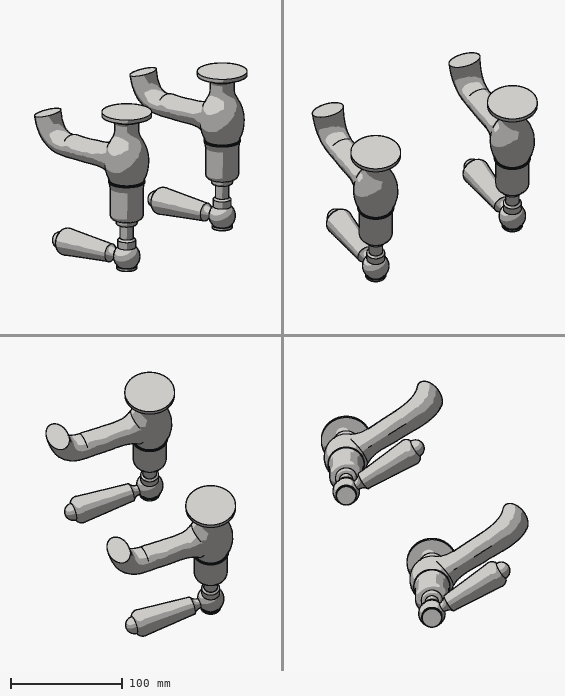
import cadquery as cq
import math


FLANGE_DIAMETER = 45.0
TAP_SPACING = 185 - FLANGE_DIAMETER

FLANGE_RADIUS = FLANGE_DIAMETER / 2
FLANGE_BASE_Z = -3.7
FLARE_MIDDLE = (14.8, -6.5)
FLARE_END = (11.5, -8.3)
NECK_RADIUS = 11.0
NECK_TOP_Z = -11.0
NECK_BASE_Z = -17.0
BULB_TOP = (13.5, -25.7)
BULB_MIDDLE = (20.0, -46.5)
BULB_BASE = (15.5, -65.1)

SPOUT_Z = BULB_MIDDLE[1]
ROOT_SECTION = (8.3, -45.0, 17.8, 19.8)
BULB_EXIT_SECTION = (13.0, -45.5, 15.5, 17.5)
FLARE_SECTION = (18.5, -46.2, 13.1, 13.9)
WAIST_SECTION = (27.8, SPOUT_Z, 11.5, 11.3)
INNER_STRAIGHT_SECTION = (39.8, SPOUT_Z, 11.7, 11.0)
OUTER_STRAIGHT_SECTION = (51.8, SPOUT_Z, 12.0, 10.5)
BEND_SECTION = (64.4, SPOUT_Z, 12.2, 10.2)
TIP_SECTION = (90.1, -20.2, 15.2, 9.6)
TIP_ANGLE = 81.3

BONNET_TOP_Z = BULB_BASE[1]
BEAD_RADIUS = 16.5
BEAD_HEIGHT = 1.7
BEAD_CHAMFER = 0.5
COLLAR_TOP_RADIUS = 16.1
COLLAR_BASE = (15.5, -70.0)
BARREL_RADIUS = 15.0
BARREL_TOP_Z = -72.7
BARREL_BASE_Z = -102.1
BARREL_FILLET = 4.5
NUT_RADIUS = 9.6
NUT_BASE_Z = -107.3
NUT_FILLET = 1.8
STEM_RADIUS = 6.1
STEM_BASE_Z = -120.2

SOCKET_RADIUS = 8.1
SOCKET_CHAMFER = 1.8
HUB_BALL_RADIUS = 12.0
HUB_BALL_Z = -137.8
FOOT_RADIUS = 9.2
FOOT_TOP_Z = -146.9
FOOT_BASE_Z = -149.5
FOOT_CHAMFER = 0.5

LEVER_Z = -138.5
LEVER_NECK_RADIUS = 4.5
LEVER_NECK_END = 12.2
LEVER_NECK_MIDDLE = (15.5, 5.5)
GRIP_START = 18.5
GRIP_RING_END = 20.5
GRIP_START_RADIUS = 8.3
GRIP_SHOULDER = (66.5, 12.2)
GRIP_ROUND_MIDDLE = (72.7, 11.0)
GRIP_END = 74.7
KNOB_RADIUS = 8.0


def make_pedestal():
    """Flange, flared neck and bulb, revolved about the tap axis."""
    outline = (
        cq.Workplane("XZ")
        .lineTo(FLANGE_RADIUS, 0)
        .lineTo(FLANGE_RADIUS, FLANGE_BASE_Z)
        .threePointArc(FLARE_MIDDLE, FLARE_END)
        .lineTo(NECK_RADIUS, NECK_TOP_Z)
        .lineTo(NECK_RADIUS, NECK_BASE_Z)
        .tangentArcPoint(BULB_TOP, relative=False)
        .threePointArc(BULB_MIDDLE, BULB_BASE)
        .lineTo(0, BULB_BASE[1])
        .close()
    )
    return outline.revolve(360, (0, 0, 0), (0, 1, 0))


def spout_direction(angle):
    """Unit vector in the tap's mid-plane, tilted up from -X by the angle in degrees."""
    tilt = math.radians(angle)
    return cq.Vector(-math.cos(tilt), 0, math.sin(tilt))


def section_centre(section):
    distance, height = section[:2]
    return cq.Vector(-distance, 0, height)


def section_wire(section, angle=0):
    """Ellipse of a spout section, facing along the spout direction."""
    half_width, half_height = section[2:]
    plane = cq.Plane(origin=section_centre(section), xDir=(0, 1, 0), normal=spout_direction(angle))
    return cq.Workplane(plane).ellipse(half_width, half_height).wire().val()


def make_straight_spout():
    """Spout from its flared root to the start of the bend."""
    sections = (
        ROOT_SECTION,
        BULB_EXIT_SECTION,
        FLARE_SECTION,
        WAIST_SECTION,
        INNER_STRAIGHT_SECTION,
        OUTER_STRAIGHT_SECTION,
        BEND_SECTION,
    )
    return cq.Workplane(cq.Solid.makeLoft([section_wire(section) for section in sections]))


def make_upturn():
    """Widening end of the spout, bent upward along a smooth curve."""
    path = cq.Edge.makeSpline(
        [section_centre(BEND_SECTION), section_centre(TIP_SECTION)],
        tangents=[spout_direction(0), spout_direction(TIP_ANGLE)],
    )
    ends = [section_wire(BEND_SECTION), section_wire(TIP_SECTION, TIP_ANGLE)]
    return cq.Workplane(cq.Solid.sweep_multi(ends, path))


def make_body():
    return make_pedestal().union(make_straight_spout()).union(make_upturn())


def make_bonnet():
    """Beaded collar, barrel, nut and stem, revolved about the tap axis."""
    bead_base_z = BONNET_TOP_Z - BEAD_HEIGHT
    outline = (
        cq.Workplane("XZ")
        .moveTo(0, BONNET_TOP_Z)
        .lineTo(BEAD_RADIUS - BEAD_CHAMFER, BONNET_TOP_Z)
        .lineTo(BEAD_RADIUS, BONNET_TOP_Z - BEAD_CHAMFER)
        .lineTo(BEAD_RADIUS, bead_base_z)
        .lineTo(COLLAR_TOP_RADIUS, bead_base_z)
        .lineTo(*COLLAR_BASE)
        .lineTo(BARREL_RADIUS, BARREL_TOP_Z)
        .lineTo(BARREL_RADIUS, BARREL_BASE_Z + BARREL_FILLET)
        .tangentArcPoint((BARREL_RADIUS - BARREL_FILLET, BARREL_BASE_Z), relative=False)
        .lineTo(NUT_RADIUS, BARREL_BASE_Z)
        .lineTo(NUT_RADIUS, NUT_BASE_Z + NUT_FILLET)
        .tangentArcPoint((NUT_RADIUS - NUT_FILLET, NUT_BASE_Z), relative=False)
        .lineTo(STEM_RADIUS, NUT_BASE_Z)
        .lineTo(STEM_RADIUS, STEM_BASE_Z)
        .lineTo(0, STEM_BASE_Z)
        .close()
    )
    return outline.revolve(360, (0, 0, 0), (0, 1, 0))


def make_hub():
    """Socket under the stem, ball and foot disc, revolved about the tap axis."""
    socket_base_z = HUB_BALL_Z + math.sqrt(HUB_BALL_RADIUS**2 - SOCKET_RADIUS**2)
    ball_base_radius = math.sqrt(HUB_BALL_RADIUS**2 - (HUB_BALL_Z - FOOT_TOP_Z) ** 2)
    outline = (
        cq.Workplane("XZ")
        .moveTo(0, STEM_BASE_Z)
        .lineTo(SOCKET_RADIUS - SOCKET_CHAMFER, STEM_BASE_Z)
        .lineTo(SOCKET_RADIUS, STEM_BASE_Z - SOCKET_CHAMFER)
        .lineTo(SOCKET_RADIUS, socket_base_z)
        .threePointArc((HUB_BALL_RADIUS, HUB_BALL_Z), (ball_base_radius, FOOT_TOP_Z))
        .lineTo(FOOT_RADIUS, FOOT_TOP_Z)
        .lineTo(FOOT_RADIUS, FOOT_BASE_Z + FOOT_CHAMFER)
        .lineTo(FOOT_RADIUS - FOOT_CHAMFER, FOOT_BASE_Z)
        .lineTo(0, FOOT_BASE_Z)
        .close()
    )
    return outline.revolve(360, (0, 0, 0), (0, 1, 0))


def make_lever():
    """Waisted neck, tapered grip and knob, revolved about the lever axis."""
    knob_middle = KNOB_RADIUS * math.sqrt(0.5)
    lever_plane = cq.Plane(origin=(0, 0, LEVER_Z), xDir=(-1, 0, 0), normal=(0, 1, 0))
    outline = (
        cq.Workplane(lever_plane)
        .lineTo(0, LEVER_NECK_RADIUS)
        .lineTo(LEVER_NECK_END, LEVER_NECK_RADIUS)
        .threePointArc(LEVER_NECK_MIDDLE, (GRIP_START, GRIP_START_RADIUS))
        .lineTo(GRIP_RING_END, GRIP_START_RADIUS)
        .lineTo(*GRIP_SHOULDER)
        .threePointArc(GRIP_ROUND_MIDDLE, (GRIP_END, KNOB_RADIUS))
        .threePointArc((GRIP_END + knob_middle, knob_middle), (GRIP_END + KNOB_RADIUS, 0))
        .close()
    )
    return outline.revolve(360, (0, 0, 0), (1, 0, 0))


def make_handle():
    return make_hub().union(make_lever())


bodies = []
for side in (-1, 1):
    offset = cq.Vector(0, side * TAP_SPACING / 2, 0)
    for part in (make_body(), make_bonnet(), make_handle()):
        bodies.append(part.solids().val().translate(offset))

result = cq.Compound.makeCompound(bodies)